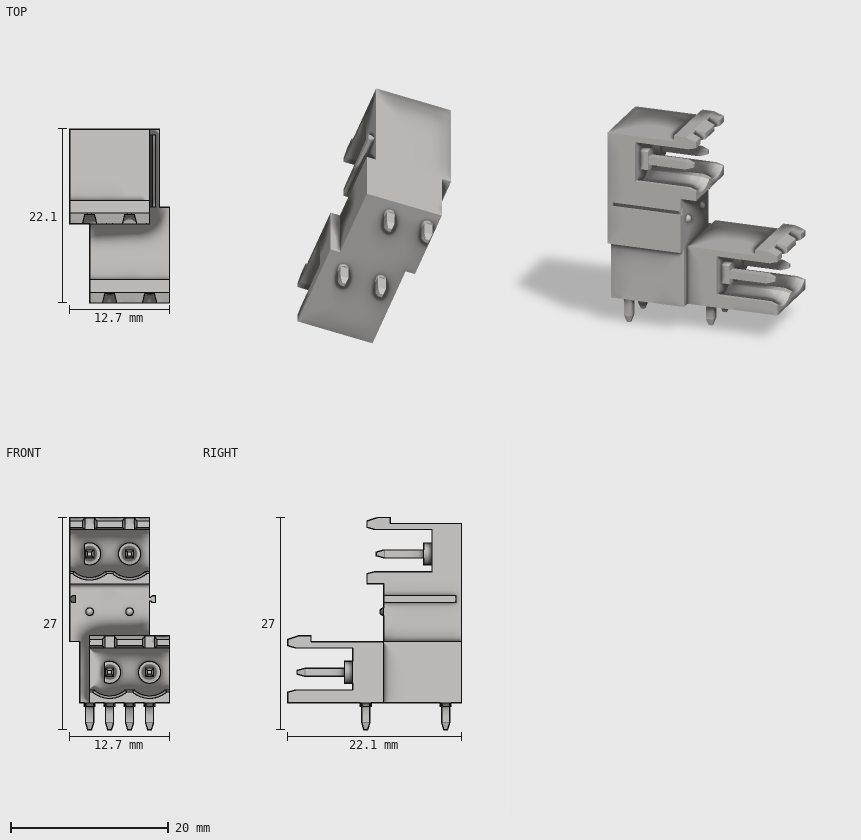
import cadquery as cq


pitch = 5.08
position_count = 2
row_width = position_count * pitch
tier_step_x = pitch / 2
tier_rise = 15.05
tier_step_depth = 10.07

body_depth = 9.9
base_z = 3.43
deck_z = 11.2
upper_top_z = deck_z + tier_rise
pedestal_x = tier_step_x / 2
ledge_z = 18.55

slot_depth = 3.78
slot_floor_z = 20.12
slot_ceiling_z = 25.43
lip_depth = 12.05
lip_chamfer_length = 1.03
lip_chamfer_drop = 0.27

latch_start_depth = 9.05
latch_slope_depth = 10.66
latch_top_z = 27.0
latch_nose_top_z = 26.55
latch_nose_bottom_z = 25.73
notch_depth = 10.83
notch_back_width = 1.22
notch_front_width = 1.84

trough_radius = 3.0
trough_mouth_radius = 3.32

pin_z = 22.35
pin_size = 1.05
pin_tip_size = 0.49
collar_diameter = 2.8
collar_length = 1.05
collar_flat_offset = 0.68
pin_taper_depth = 9.83
pin_tip_depth = 10.85

solder_pin_depth = 2.02
solder_row_spacing = 2 * pitch
solder_collar_diameter = 1.4
solder_collar_length = 0.45
solder_taper_length = 0.92

rail_z = 16.6
rail_back_depth = 0.73
rail_neck_height = 0.5
rail_neck_length = 0.15
rail_flare = 0.2
rail_length = 0.75

bump_z = 15.0
bump_radius = 0.49


def block(x0, x1, depth0, depth1, z0, z1):
    """Box between two X values, two depths and two heights."""
    size = (x1 - x0, depth1 - depth0, z1 - z0)
    return cq.Workplane("XY").box(*size, centered=False).translate((x0, -depth1, z0))


def depth_plane(depth, x=0, z=0):
    """Plane with its local X along X, local Y along Z and its normal along -Y."""
    return cq.Workplane("XZ", origin=(x, -depth, z))


def position_centers(first_x):
    """X centers of the positions of a row that starts at first_x."""
    return [first_x + (i + 0.5) * pitch for i in range(position_count)]


def square_pin(plane, shaft_length, taper_length):
    """Square pin along the plane normal, ending in a tapered tip."""
    shaft = plane.rect(pin_size, pin_size).extrude(shaft_length)
    taper = (
        plane.workplane(offset=shaft_length)
        .rect(pin_size, pin_size)
        .workplane(offset=taper_length)
        .rect(pin_tip_size, pin_tip_size)
        .loft(combine=True)
    )
    return shaft.union(taper)


def latch_notch(x):
    """Notch through the latch bar that widens towards the front."""
    back = notch_back_width / 2
    front = notch_front_width / 2
    outline = [
        (x - back, -notch_depth),
        (x + back, -notch_depth),
        (x + front, -lip_depth),
        (x - front, -lip_depth),
    ]
    height = latch_top_z - slot_ceiling_z
    return cq.Workplane("XY", origin=(0, 0, slot_ceiling_z)).polyline(outline).close().extrude(height)


def trough(x):
    """Cylindrical trough around a pin axis, flared to a cone at the mouth."""
    flare_depth = lip_depth - lip_chamfer_length
    bore = depth_plane(slot_depth, x, pin_z).circle(trough_radius).extrude(lip_depth - slot_depth)
    mouth = (
        depth_plane(flare_depth, x, pin_z)
        .circle(trough_radius)
        .workplane(offset=lip_chamfer_length)
        .circle(trough_mouth_radius)
        .loft(combine=True)
    )
    below_axis = block(x - pitch / 2, x + pitch / 2, slot_depth, lip_depth, ledge_z, pin_z)
    return bore.union(mouth).intersect(below_axis)


def tier_shell(back_depth, bottom_z):
    """C-shaped side profile of a tier, extruded over the row of positions."""
    chamfer_depth = lip_depth - lip_chamfer_length
    profile = [
        (back_depth, bottom_z),
        (lip_depth, bottom_z),
        (lip_depth, slot_floor_z - lip_chamfer_drop),
        (chamfer_depth, slot_floor_z),
        (slot_depth, slot_floor_z),
        (slot_depth, slot_ceiling_z),
        (chamfer_depth, slot_ceiling_z),
        (lip_depth, latch_nose_bottom_z),
        (lip_depth, latch_nose_top_z),
        (latch_slope_depth, latch_top_z),
        (latch_start_depth, latch_top_z),
        (latch_start_depth, upper_top_z),
        (back_depth, upper_top_z),
    ]
    points = [(-depth, z) for depth, z in profile]
    return cq.Workplane("YZ").polyline(points).close().extrude(row_width)


def collar(x, has_flat):
    """Round collar at the root of a contact pin, optionally with a flat on its -X side."""
    radius = collar_diameter / 2
    solid = depth_plane(slot_depth, x, pin_z).circle(radius).extrude(collar_length)
    if has_flat:
        flat_x = x - collar_flat_offset
        cutter = block(
            x - radius, flat_x, slot_depth, slot_depth + collar_length, pin_z - radius, pin_z + radius
        )
        solid = solid.cut(cutter)
    return solid


def contact_tier(back_depth, bottom_z):
    """Complete tier at the upper position: shell, notches, troughs, collars and pins."""
    tier = tier_shell(back_depth, bottom_z)
    for index, x in enumerate(position_centers(0)):
        tier = tier.cut(latch_notch(x)).cut(trough(x))
        tier = tier.union(collar(x, has_flat=index == 0))
        pin = square_pin(
            depth_plane(slot_depth, x, pin_z), pin_taper_depth - slot_depth, pin_tip_depth - pin_taper_depth
        )
        tier = tier.union(pin)
    return tier


def solder_pin(x, depth):
    """Downward solder pin with a round collar below the housing."""
    plane = cq.Workplane("XY", origin=(x, -depth, base_z)).transformed(rotate=(180, 0, 0))
    solder_collar = plane.circle(solder_collar_diameter / 2).extrude(solder_collar_length)
    pin = square_pin(plane, base_z - solder_taper_length, solder_taper_length)
    return pin.union(solder_collar)


def dovetail(x):
    """Dovetail bar that reaches from x towards +X, open at the front face."""
    neck = rail_neck_height / 2
    head = neck + rail_flare
    flare_end = rail_neck_length + rail_flare
    upper_half = [(0, neck), (rail_neck_length, neck), (flare_end, head), (rail_length, head)]
    lower_half = [(u, -v) for u, v in reversed(upper_half)]
    outline = depth_plane(rail_back_depth, x, rail_z).polyline(upper_half + lower_half).close()
    return outline.extrude(body_depth - rail_back_depth)


pedestal = block(pedestal_x, pedestal_x + row_width, 0, body_depth, base_z, deck_z)
upper_body = block(0, row_width, 0, body_depth, deck_z, ledge_z)
upper_tier = contact_tier(0, ledge_z)
lower_tier = contact_tier(body_depth - tier_step_depth, base_z + tier_rise).translate(
    (tier_step_x, -tier_step_depth, -tier_rise)
)
result = pedestal.union(upper_body).union(upper_tier).union(lower_tier)

result = result.union(dovetail(row_width)).cut(dovetail(0))

for bump_x in position_centers(0):
    result = result.union(cq.Workplane("XY").sphere(bump_radius).translate((bump_x, -body_depth, bump_z)))

for pin_x in position_centers(0):
    result = result.union(solder_pin(pin_x, solder_pin_depth))
for pin_x in position_centers(tier_step_x):
    result = result.union(solder_pin(pin_x, solder_pin_depth + solder_row_spacing))